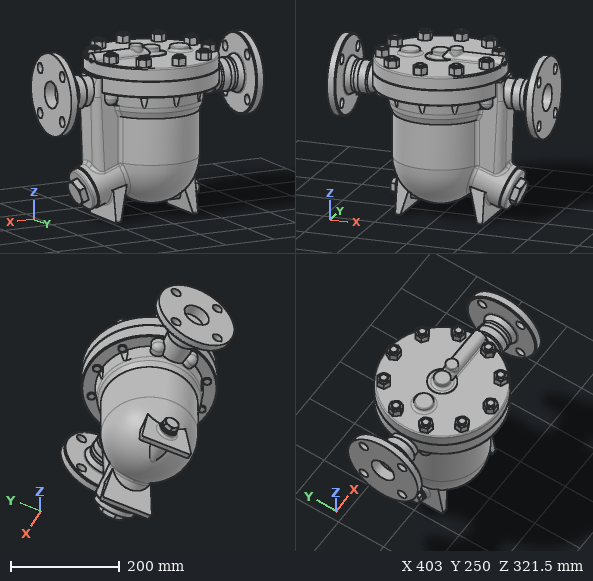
import cadquery as cq
import math


inlet_face_x = -194.0
outlet_face_x = 209.0
end_flange_diameter = 155.0
end_flange_rim = 14.0
end_flange_thickness = 16.0
end_flange_step_diameter = 150.0
end_bolt_circle = 120.0
end_bolt_hole = 19.0
end_bolt_count = 4
neck_base_diameter = 72.5
neck_root_radius = 2.0
neck_diameter = 62.0
neck_taper_end = 29.0
weld_start = 34.5
weld_end = 42.5
weld_rise = 0.9
neck_end = 60.5
neck_end_chamfer = 2.5
pipe_diameter = 56.0
bore_diameter = 50.0
bore_depth = 22.0

cover_diameter = 250.0
cover_top = 56.0
cover_edge_radius = 2.5
gasket_thickness = 1.5
casing_top = 30.0
cover_bottom = casing_top + gasket_thickness
casing_flange_edge = 2.0

stud_diameter = 16.0
stud_end_diameter = 13.84
stud_circle_radius = 107.5
stud_top = 74.0
stud_bottom = -3.0
stud_end_chamfer = (stud_diameter - stud_end_diameter) / 2
nut_flats = 24.0
nut_height = 14.5
blind_stud_angles = (18.0, 162.0, 198.0, 342.0)
through_stud_angles = (54.0, 90.0, 126.0, 234.0, 270.0, 306.0)

side_boss_x = -60.0
side_boss_diameter = 37.0
side_boss_top = 65.0
side_boss_edge = 2.0
boss_root_radius = 5.5
centre_boss_diameter = 32.0
centre_boss_top = 69.5
centre_boss_edge = 1.5
centre_pad_diameter = 56.0
centre_pad_height = 1.0
ridge_radius = 14.0
ridge_root_radius = 2.5
ridge_boss_root = 2.0
ridge_boss_x = 31.5
ridge_boss_diameter = 24.0
ridge_boss_top = 76.0
ridge_boss_edge = 1.0
ridge_pin_diameter = 5.0
ridge_pin_length = 12.0
ridge_pin_end = (127.0, 0.0, 57.3)

vessel_radius = 89.5
dome_centre_z = -134.5
neck_top_radius = 99.5
shoulder_line_radius, shoulder_line_z = 96.5, -25.5
shoulder_radius, shoulder_z = 95.0, -35.0
vessel_top_z = -47.5
stud_relief_diameter = 22.0
blind_boss_radius = 13.0
blind_boss_z = -11.0

duct_half_width = 34.0
duct_top_corner = 6.0
duct_wide_corner = 14.0
duct_foot_corner = 17.5
duct_root_radius = 8.0
duct_top_x, duct_top_z = 129.5, 29.0
duct_wide_x, duct_wide_z = 137.5, -6.0
duct_foot_x, duct_foot_z = 132.3, -172.0

strainer_origin_z = -132.6
strainer_tilt = 20.0
strainer_diameter = 84.0
strainer_root_radius = 8.0
edge_tolerance = 0.1
strainer_end = 143.5
cap_spigot_diameter = 78.0
cap_spigot_length = 1.5
cap_diameter = 80.0
cap_thickness = 11.5
cap_edge = 2.5
cap_hex_flats = 45.0
cap_hex_length = 13.5
cap_hex_turn = -6.0

drain_axis_z = -203.5
drain_boss_diameter = 40.0
drain_nose_diameter = 34.0
drain_nose_root = 4.5
drain_nose_end_x = -79.0
drain_gap = 1.5
drain_gap_diameter = 26.0
drain_collar_diameter = 32.0
drain_collar_length = 3.0
drain_hex_flats = 26.0
drain_hex_length = 10.5

foot_bottom_z = -244.0
foot_top_z = -160.0
foot_outer_x = (-70.7, 100.7)
foot_thickness = 10.0
foot_inner_slope = 15.5
foot_half_width = 51.0
foot_side_slope = 10.0
foot_corner = 4.0
foot_root_radius = 3.0


def hex_corners(flats):
    return flats / math.cos(math.pi / 6)


def polar(radius, degrees):
    return radius * math.cos(math.radians(degrees)), radius * math.sin(math.radians(degrees))


def cylinder(diameter, bottom, top, x=0.0, y=0.0):
    return cq.Workplane("XY", origin=(x, y, bottom)).circle(diameter / 2).extrude(top - bottom)


def hex_head(flats, height):
    """Hexagon from Z = 0 up, corners on X, its upper corners turned to a cone."""
    corner_radius = hex_corners(flats) / 2
    flat_radius = flats / 2
    drop = (corner_radius - flat_radius) * math.tan(math.radians(30))
    head = cq.Workplane("XY").polygon(6, 2 * corner_radius).extrude(height)
    turning = (
        cq.Workplane("XZ")
        .moveTo(0, 0)
        .lineTo(corner_radius, 0)
        .lineTo(corner_radius, height - drop)
        .lineTo(flat_radius, height)
        .lineTo(0, height)
        .close()
        .revolve(360, (0, 0, 0), (0, 1, 0))
    )
    return head.intersect(turning)


def pipe_end(face_x, inward):
    """Welding-neck flange and pipe; inward is +1 or -1 along X."""
    def at(distance):
        return face_x + inward * distance

    neck_radius = neck_diameter / 2
    outline = (
        cq.Workplane("XZ")
        .moveTo(at(0), 0)
        .lineTo(at(0), end_flange_diameter / 2)
        .lineTo(at(end_flange_rim), end_flange_diameter / 2)
        .lineTo(at(end_flange_rim), end_flange_step_diameter / 2)
        .lineTo(at(end_flange_thickness), end_flange_step_diameter / 2)
        .lineTo(at(end_flange_thickness), neck_base_diameter / 2 + neck_root_radius)
        .radiusArc(
            (at(end_flange_thickness + neck_root_radius), neck_base_diameter / 2),
            -inward * neck_root_radius,
        )
        .lineTo(at(neck_taper_end), neck_radius)
        .lineTo(at(weld_start), neck_radius)
        .threePointArc(
            (at((weld_start + weld_end) / 2), neck_radius + weld_rise), (at(weld_end), neck_radius)
        )
        .lineTo(at(neck_end - neck_end_chamfer), neck_radius)
        .lineTo(at(neck_end), pipe_diameter / 2)
        .lineTo(inward * -vessel_radius / 2, pipe_diameter / 2)
        .lineTo(inward * -vessel_radius / 2, 0)
        .close()
    )
    end = outline.revolve(360, (0, 0, 0), (1, 0, 0))
    holes = (
        cq.Workplane("YZ", origin=(face_x, 0, 0))
        .polarArray(end_bolt_circle / 2, 45, 360, end_bolt_count)
        .circle(end_bolt_hole / 2)
        .extrude(inward * end_flange_thickness)
    )
    bore = cq.Workplane("YZ", origin=(face_x, 0, 0)).circle(bore_diameter / 2).extrude(inward * bore_depth)
    return end.cut(holes).cut(bore)


def vessel():
    outline = (
        cq.Workplane("XZ")
        .moveTo(0, casing_flange_edge)
        .lineTo(neck_top_radius, casing_flange_edge)
        .lineTo(neck_top_radius, 0)
        .lineTo(shoulder_line_radius, shoulder_line_z)
        .lineTo(shoulder_radius, shoulder_z)
        .lineTo(vessel_radius, vessel_top_z)
        .lineTo(vessel_radius, dome_centre_z)
        .threePointArc(
            (vessel_radius * math.sqrt(0.5), dome_centre_z - vessel_radius * math.sqrt(0.5)),
            (0, dome_centre_z - vessel_radius),
        )
        .close()
    )
    return outline.revolve(360, (0, 0, 0), (0, 1, 0))


def strainer_plane(distance):
    """Plane across the strainer axis, its normal pointing out of the neck."""
    tilt = math.radians(strainer_tilt)
    axis = (math.cos(tilt), 0, -math.sin(tilt))
    origin = (distance * axis[0], 0, strainer_origin_z + distance * axis[2])
    return cq.Plane(origin=origin, xDir=(math.sin(tilt), 0, math.cos(tilt)), normal=axis)


def strainer_neck():
    return cq.Workplane(strainer_plane(0)).circle(strainer_diameter / 2).extrude(strainer_end)


def duct():
    """Upright duct: rounded outer corners, widest just below the pipe axis."""
    def section(outer_x, z, corner):
        inner_x = vessel_radius / 2
        return (
            cq.Workplane("XY", origin=(0, 0, z))
            .moveTo(inner_x, -duct_half_width)
            .lineTo(outer_x - corner, -duct_half_width)
            .radiusArc((outer_x, -duct_half_width + corner), -corner)
            .lineTo(outer_x, duct_half_width - corner)
            .radiusArc((outer_x - corner, duct_half_width), -corner)
            .lineTo(inner_x, duct_half_width)
            .close()
            .val()
        )

    levels = [
        section(duct_top_x, duct_top_z, duct_top_corner),
        section(duct_wide_x, duct_wide_z, duct_wide_corner),
        section(duct_foot_x, duct_foot_z, duct_foot_corner),
    ]
    return cq.Workplane(cq.Solid.makeLoft(levels, True))


def casing_flange():
    return cylinder(cover_diameter, 0, casing_top).faces("<Z").edges().chamfer(casing_flange_edge)


def blind_stud_boss(degrees):
    """Round-bottomed boss under a stud; clear of the duct it also runs radially into the neck."""
    x, y = polar(stud_circle_radius, degrees)
    post = cylinder(2 * blind_boss_radius, blind_boss_z, casing_flange_edge, x, y)
    ball = cq.Workplane("XY", origin=(x, y, blind_boss_z)).sphere(blind_boss_radius)
    boss = post.union(ball)
    if x > 0:
        return boss
    inward = cq.Plane(origin=(x, y, blind_boss_z), xDir=(0, 0, 1), normal=(-x, -y, 0))
    arm = cq.Workplane(inward).circle(blind_boss_radius).extrude(stud_circle_radius / 3)
    return boss.union(arm)


def foot(outer_x, inward):
    height = foot_top_z - foot_bottom_z
    top_thickness = foot_thickness + height * math.tan(math.radians(foot_inner_slope))
    top_half_width = foot_half_width - height * math.tan(math.radians(foot_side_slope))
    wedge = (
        cq.Workplane("XZ")
        .moveTo(outer_x, foot_bottom_z)
        .lineTo(outer_x + inward * foot_thickness, foot_bottom_z)
        .lineTo(outer_x + inward * top_thickness, foot_top_z)
        .lineTo(outer_x, foot_top_z)
        .close()
        .extrude(foot_half_width, both=True)
    )
    plate = (
        cq.Workplane("YZ", origin=(outer_x, 0, 0))
        .moveTo(-foot_half_width, foot_bottom_z)
        .lineTo(foot_half_width, foot_bottom_z)
        .lineTo(top_half_width, foot_top_z)
        .lineTo(-top_half_width, foot_top_z)
        .close()
        .extrude(inward * top_thickness)
        .faces("<Z")
        .edges("|X")
        .fillet(foot_corner)
    )
    return wedge.intersect(plate)


def drain_boss():
    length = -foot_outer_x[0]
    body = (
        cq.Workplane("YZ", origin=(-length, 0, drain_axis_z))
        .circle(drain_boss_diameter / 2)
        .extrude(length)
    )
    nose_radius = drain_nose_diameter / 2
    root_radius = nose_radius + drain_nose_root
    nose = (
        cq.Workplane("XZ", origin=(0, 0, drain_axis_z))
        .moveTo(drain_nose_end_x, 0)
        .lineTo(drain_nose_end_x, nose_radius)
        .lineTo(-length - drain_nose_root, nose_radius)
        .radiusArc((-length, root_radius), -drain_nose_root)
        .lineTo(-length + foot_thickness / 2, root_radius)
        .lineTo(-length + foot_thickness / 2, 0)
        .close()
        .revolve(360, (0, 0, 0), (1, 0, 0))
    )
    return body.union(nose)


def shoulder_root(side):
    """Concave corner between the vessel's shoulder and one side of the duct; side is +1 or -1."""
    def section(radius, z):
        centre_y = duct_half_width + duct_root_radius
        centre_x = math.sqrt((radius + duct_root_radius) ** 2 - centre_y ** 2)
        on_vessel = radius / (radius + duct_root_radius)
        return (
            cq.Workplane("XY", origin=(0, 0, z))
            .moveTo(centre_x, side * duct_half_width)
            .radiusArc((centre_x * on_vessel, side * centre_y * on_vessel), side * duct_root_radius)
            .lineTo(vessel_radius / 2, side * duct_half_width / 2)
            .close()
            .val()
        )

    levels = [
        section(vessel_radius, vessel_top_z),
        section(shoulder_radius, shoulder_z),
        section(shoulder_line_radius, shoulder_line_z),
    ]
    return cq.Workplane(cq.Solid.makeLoft(levels, True))


def round_edges(shape, is_wanted, radius):
    return shape.newObject([edge for edge in shape.edges().vals() if is_wanted(edge)]).fillet(radius)


def is_duct_root(edge):
    """Straight corner where a side of the duct leaves the cylindrical wall."""
    centre = edge.Center()
    on_duct_side = abs(abs(centre.y) - duct_half_width) < edge_tolerance
    on_wall = abs(math.hypot(centre.x, centre.y) - vessel_radius) < edge_tolerance
    return on_duct_side and on_wall and dome_centre_z < centre.z < vessel_top_z


def is_strainer_root(edge):
    """Curve along the neck's wall where it leaves the dome or the duct."""
    if edge.geomType() == "LINE":
        return False
    for fraction in (0, 0.3, 0.5, 0.8, 1):
        point = strainer_plane(0).toLocalCoords(edge.positionAt(fraction))
        on_wall = abs(math.hypot(point.x, point.y) - strainer_diameter / 2) < edge_tolerance
        if not on_wall or not 0 < point.z < strainer_end - edge_tolerance:
            return False
    return True


def is_foot_root(edge):
    """Curve where the outer face of the +X foot runs up into the strainer neck."""
    box = edge.BoundingBox()
    on_face = abs(box.xmin - foot_outer_x[1]) < edge_tolerance and abs(box.xmax - foot_outer_x[1]) < edge_tolerance
    return on_face and edge.geomType() == "ELLIPSE"


def build_casing():
    shell = round_edges(vessel().union(duct()), is_duct_root, duct_root_radius)
    shell = round_edges(shell.union(strainer_neck()), is_strainer_root, strainer_root_radius)
    shell = round_edges(shell.union(foot(foot_outer_x[1], -1)), is_foot_root, foot_root_radius)
    for side in (1, -1):
        shell = shell.union(shoulder_root(side))
    shell = shell.union(casing_flange())
    for face_x, inward in ((inlet_face_x, 1), (outlet_face_x, -1)):
        shell = shell.union(pipe_end(face_x, inward))
    for degrees in through_stud_angles:
        x, y = polar(stud_circle_radius, degrees)
        shell = shell.cut(cylinder(stud_relief_diameter, shoulder_z, 0, x, y))
    for degrees in blind_stud_angles:
        shell = shell.union(blind_stud_boss(degrees))
    shell = shell.union(foot(foot_outer_x[0], 1))
    shell = shell.union(drain_boss())
    for degrees in through_stud_angles + blind_stud_angles:
        shell = shell.cut(stud(degrees))
    return shell


def stud(degrees):
    x, y = polar(stud_circle_radius, degrees)
    return cylinder(stud_diameter, stud_bottom, stud_top, x, y).faces("<Z or >Z").chamfer(stud_end_chamfer)


def nut(degrees):
    x, y = polar(stud_circle_radius, degrees)
    head = hex_head(nut_flats, nut_height).rotate((0, 0, 0), (0, 0, 1), degrees - 90)
    return head.translate((x, y, cover_top))


def round_boss(x, diameter, base, top, edge):
    """Boss with a rounded top edge and a concave root."""
    radius = diameter / 2
    return (
        cq.Workplane("XZ", origin=(x, 0, 0))
        .moveTo(0, cover_bottom)
        .lineTo(radius + boss_root_radius, cover_bottom)
        .lineTo(radius + boss_root_radius, base)
        .radiusArc((radius, base + boss_root_radius), boss_root_radius)
        .lineTo(radius, top - edge)
        .radiusArc((radius - edge, top), -edge)
        .lineTo(0, top)
        .close()
        .revolve(360, (0, 0, 0), (0, 1, 0))
    )


def ridge():
    """Round-topped ridge from the cover's centre to its rim, with its boss."""
    root_half_width = ridge_radius + ridge_root_radius
    root_top = cover_top + ridge_root_radius
    bar = (
        cq.Workplane("YZ")
        .moveTo(-root_half_width, cover_top)
        .radiusArc((-ridge_radius, root_top), -ridge_root_radius)
        .threePointArc((0, centre_boss_top), (ridge_radius, root_top))
        .radiusArc((root_half_width, cover_top), -ridge_root_radius)
        .close()
        .extrude(cover_diameter / 2)
    )
    bar = bar.intersect(cylinder(cover_diameter, cover_top, centre_boss_top))
    boss = cylinder(ridge_boss_diameter, cover_top, ridge_boss_top, ridge_boss_x)
    boss = boss.faces(">Z").edges().fillet(ridge_boss_edge)
    boss = bar.union(boss)

    def is_boss_root(edge):
        centre = edge.Center()
        reach = ridge_boss_diameter / 2
        near_boss = abs(centre.x - ridge_boss_x) < reach
        return edge.geomType() != "LINE" and near_boss and cover_top < centre.z < centre_boss_top

    boss = round_edges(boss, is_boss_root, ridge_boss_root)
    pin_plane = cq.Plane(origin=ridge_pin_end, xDir=(0, 1, 0), normal=(1, 0, 1))
    pin = cq.Workplane(pin_plane).circle(ridge_pin_diameter / 2).extrude(-ridge_pin_length)
    return boss.union(pin)


def build_cover():
    cover = cylinder(cover_diameter, cover_bottom, cover_top).faces(">Z").edges().fillet(cover_edge_radius)
    pad_top = cover_top + centre_pad_height
    cover = cover.union(cylinder(centre_pad_diameter, cover_bottom, pad_top))
    cover = cover.union(round_boss(side_boss_x, side_boss_diameter, cover_top, side_boss_top, side_boss_edge))
    cover = cover.union(round_boss(0, centre_boss_diameter, pad_top, centre_boss_top, centre_boss_edge))
    cover = cover.union(ridge())
    for degrees in through_stud_angles + blind_stud_angles:
        cover = cover.union(nut(degrees)).union(stud(degrees))
    return cover


def build_gasket():
    gasket = cylinder(cover_diameter, casing_top, cover_bottom)
    for degrees in through_stud_angles + blind_stud_angles:
        gasket = gasket.cut(stud(degrees))
    return gasket


def build_strainer_cap():
    spigot = cq.Workplane(strainer_plane(strainer_end)).circle(cap_spigot_diameter / 2).extrude(cap_spigot_length)
    disc_start = strainer_end + cap_spigot_length
    disc = cq.Workplane("XY").circle(cap_diameter / 2).extrude(cap_thickness).faces(">Z").edges().fillet(cap_edge)
    head = hex_head(cap_hex_flats, cap_hex_length).rotate((0, 0, 0), (0, 0, 1), cap_hex_turn)
    head = head.translate((0, 0, cap_thickness))
    outer = disc.union(head).val().moved(cq.Location(strainer_plane(disc_start)))
    return spigot.union(cq.Workplane(outer))


def build_drain_plug():
    collar_start = drain_gap
    hex_start = collar_start + drain_collar_length
    plug = cylinder(drain_gap_diameter, 0, hex_start)
    plug = plug.union(cylinder(drain_collar_diameter, collar_start, hex_start))
    plug = plug.union(hex_head(drain_hex_flats, drain_hex_length).translate((0, 0, hex_start)))
    seat = cq.Plane(origin=(drain_nose_end_x, 0, drain_axis_z), xDir=(0, 0, 1), normal=(-1, 0, 0))
    return cq.Workplane(plug.val().moved(cq.Location(seat)))


casing = build_casing()
cover = build_cover()
gasket = build_gasket()
strainer_cap = build_strainer_cap()
drain_plug = build_drain_plug()

result = cq.Compound.makeCompound(
    [casing.val(), cover.val(), gasket.val(), strainer_cap.val(), drain_plug.val()]
)